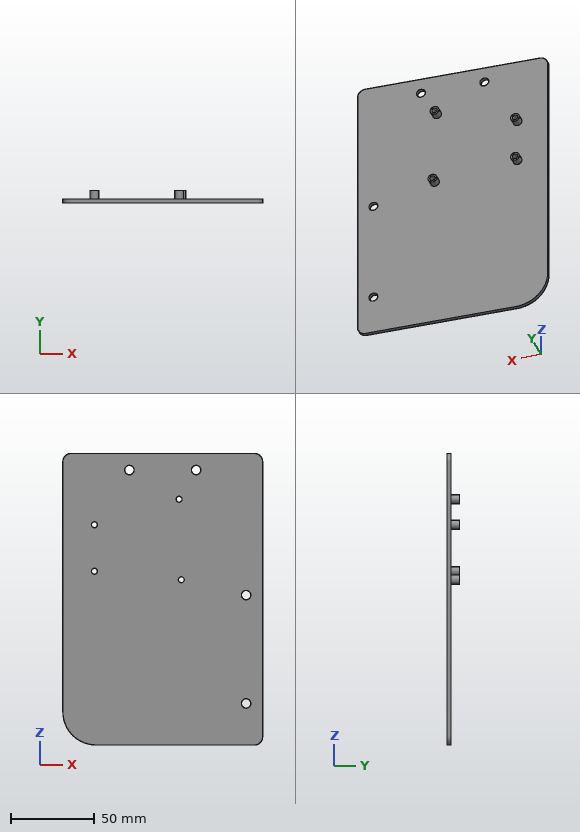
import cadquery as cq

plate_width = 120.0
plate_height = 175.0
plate_thickness = 2.5
corner_radius = 5.0
large_corner_radius = 20.0

mount_hole_diameter = 5.5
top_hole_spacing = 40.0
top_hole_inset = 10.0
side_hole_inset = 10.0
side_hole_bottom_inset = 25.0
side_hole_spacing = 65.0

standoff_diameter = 5.5
standoff_height = 5.0
standoff_bore = 3.4

upper_right_x = 9.8
upper_right_z = 60.0
left_column_offset = 50.8
left_column_drop = 15.3
left_column_spacing = 27.9
lower_right_offset = 1.3
lower_right_drop = 48.3

left_column_x = upper_right_x - left_column_offset
left_upper_z = upper_right_z - left_column_drop
standoff_points = [
    (upper_right_x, upper_right_z),
    (upper_right_x + lower_right_offset, upper_right_z - lower_right_drop),
    (left_column_x, left_upper_z),
    (left_column_x, left_upper_z - left_column_spacing),
]

top_hole_z = plate_height / 2 - top_hole_inset
side_hole_x = plate_width / 2 - side_hole_inset
lower_side_hole_z = -plate_height / 2 + side_hole_bottom_inset
mount_hole_points = [
    (-top_hole_spacing / 2, top_hole_z),
    (top_hole_spacing / 2, top_hole_z),
    (side_hole_x, lower_side_hole_z),
    (side_hole_x, lower_side_hole_z + side_hole_spacing),
]


def cylinders(points, diameter, start_y, length):
    """Cylinders at (x, z) points, running from start_y toward +Y."""
    plane = cq.Workplane("XZ").workplane(offset=-start_y)
    return plane.pushPoints(points).circle(diameter / 2).extrude(-length)


def make_plate():
    """Flat plate with three small round corners and a large one at lower left."""
    plate = cq.Workplane("XZ").rect(plate_width, plate_height).extrude(-plate_thickness)
    plate = plate.edges("|Y and (>X or >Z)").fillet(corner_radius)
    return plate.edges("|Y and <X and <Z").fillet(large_corner_radius)


def make_part():
    """Plate with standoffs added and all holes cut through."""
    total_depth = plate_thickness + standoff_height
    standoffs = cylinders(standoff_points, standoff_diameter, plate_thickness, standoff_height)
    bores = cylinders(standoff_points, standoff_bore, 0, total_depth)
    mount_holes = cylinders(mount_hole_points, mount_hole_diameter, 0, plate_thickness)
    return make_plate().union(standoffs).cut(bores).cut(mount_holes)


result = make_part()